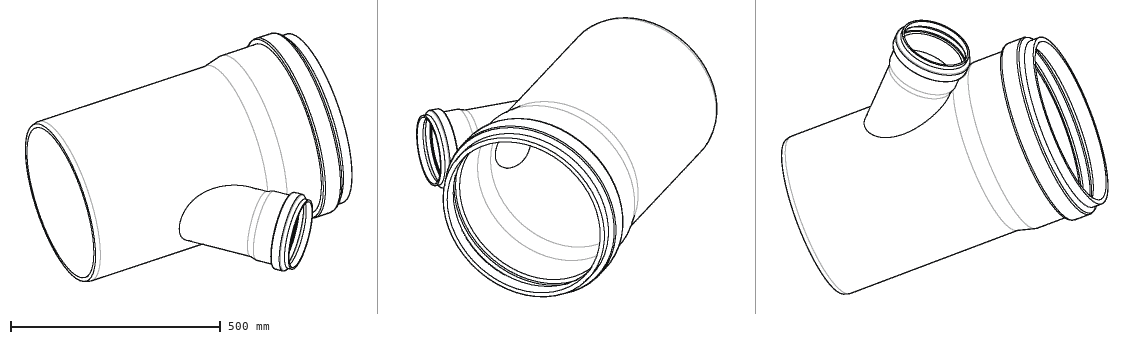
import cadquery as cq
import math

length = 668.0
pipe_d = 401.0
bore_d = 375.5
socket_d = 424.0
socket_bore_d = 402.0
collar_d = 450.0
groove_d = 427.5
spigot_chamfer_length = 11.5
spigot_chamfer_depth = 3.5

branch_angle = 45.0
branch_root_y = 131.5
branch_length = 481.5
branch_pipe_d = 160.0
branch_bore_d = 149.5
branch_socket_d = 170.5
branch_socket_bore_d = 161.0
branch_collar_d = 189.0
branch_groove_d = 180.0

main_stations = (23.0, 32.0, 81.0, 171.0, 216.0)
branch_stations = (10.0, 18.0, 42.0, 89.0, 105.5)
main_collar_chamfer = 5.0
branch_collar_chamfer = 2.0
collar_edge_drop = 2.0


def revolve_profile(points):
    """Revolve (radius, axial position) points about the Y axis."""
    return cq.Workplane("XY").polyline(points).close().revolve(360, (0, 0, 0), (0, 1, 0))


def socket_outline(mouth, stations, mouth_d, ring_d, tube_d, edge_length, edge_drop):
    """Points from the tube up to the mouth, closing on the axis."""
    lip, ring_front, ring_back, taper_start, taper_end = (mouth - s for s in stations)
    return [
        (tube_d / 2, taper_end),
        (mouth_d / 2, taper_start),
        (mouth_d / 2, ring_back),
        (ring_d / 2 - edge_drop, ring_back),
        (ring_d / 2, ring_back + edge_length),
        (ring_d / 2, ring_front - edge_length),
        (ring_d / 2 - edge_drop, ring_front),
        (mouth_d / 2, lip),
        (mouth_d / 2, mouth),
        (0, mouth),
    ]


def inner_stations(stations, wall):
    """Shorten the collar at both ends so that the groove leaves a full wall around it."""
    lip, ring_front, ring_back, taper_start, taper_end = stations
    return (lip + wall, ring_front + wall, ring_back - wall, taper_start, taper_end)


def place_branch(body):
    """Lean a body built along Y towards +X and move it to the branch root."""
    return body.rotate((0, 0, 0), (0, 0, 1), -branch_angle).translate((0, branch_root_y, 0))


main_inner_stations = inner_stations(main_stations, (socket_d - socket_bore_d) / 2)
branch_inner_stations = inner_stations(
    branch_stations, (branch_socket_d - branch_socket_bore_d) / 2
)

main_outer = revolve_profile(
    [
        (0, 0),
        (pipe_d / 2 - spigot_chamfer_depth, 0),
        (pipe_d / 2, spigot_chamfer_length),
    ]
    + socket_outline(
        length, main_stations, socket_d, collar_d, pipe_d, main_collar_chamfer, collar_edge_drop
    )
)
main_inner = revolve_profile(
    [(0, 0), (bore_d / 2, 0)]
    + socket_outline(
        length, main_inner_stations, socket_bore_d, groove_d, bore_d,
        main_collar_chamfer, collar_edge_drop,
    )
)

branch_start = bore_d / 2 / math.sin(math.radians(branch_angle)) - branch_pipe_d
branch_outer = revolve_profile(
    [(0, branch_start), (branch_pipe_d / 2, branch_start)]
    + socket_outline(
        branch_length, branch_stations, branch_socket_d, branch_collar_d, branch_pipe_d,
        branch_collar_chamfer, collar_edge_drop,
    )
)
branch_inner = revolve_profile(
    [(0, branch_start), (branch_bore_d / 2, branch_start)]
    + socket_outline(
        branch_length, branch_inner_stations, branch_socket_bore_d, branch_groove_d, branch_bore_d,
        branch_collar_chamfer, collar_edge_drop,
    )
)

result = (
    main_outer.union(place_branch(branch_outer))
    .cut(main_inner)
    .cut(place_branch(branch_inner))
)